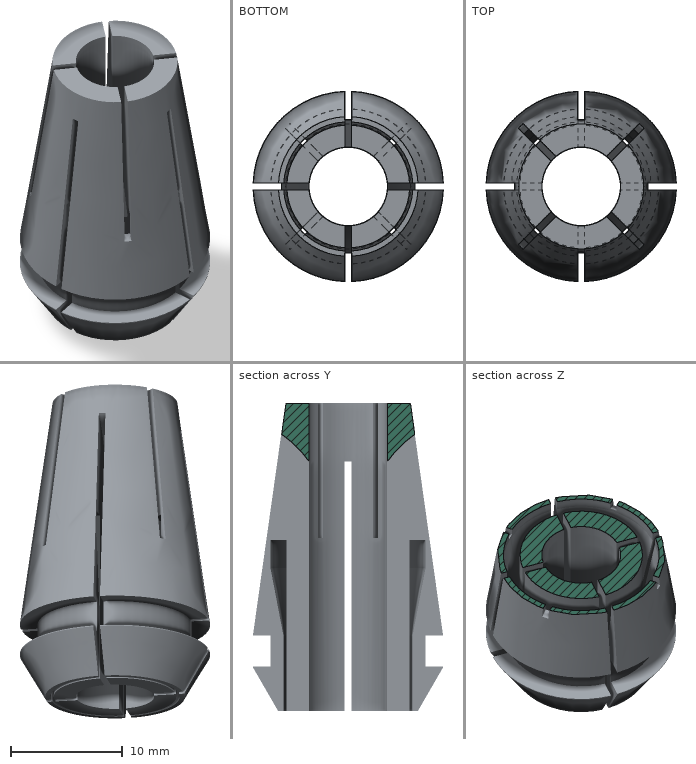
import cadquery as cq
import math

height = 27.5
outer_radius = 8.5
bore_radius = 3.5

clamp_angle = 8.0
nut_angle = 30.0

groove_radius = 6.92
groove_bottom = 4.0
groove_top = 6.74
rim_height = 0.08

sleeve_radius = 5.48
relief_mouth_radius = 5.77
relief_wall_radius = 6.93
relief_cone_top = 12.8
relief_top = 15.3

slot_width = 0.6
saw_radius = 10.0
slot_count = 4
slot_spacing = 360.0 / slot_count
nut_slot_outer_end = 24.75
nut_slot_inner_end = 22.3
back_slot_outer_end = 12.8
back_slot_inner_end = 15.45
clearance = 1.0

clamp_slope = math.tan(math.radians(clamp_angle))
nut_slope = math.tan(math.radians(nut_angle))


def taper_radius(z):
    """Radius of the clamping taper at height z."""
    return outer_radius - (z - groove_top) * clamp_slope


def make_body():
    """Revolved tapers and nut groove with the through bore."""
    rim_bottom = groove_bottom - rim_height
    nut_end_radius = outer_radius - rim_bottom * nut_slope
    profile = [
        (bore_radius, 0),
        (nut_end_radius, 0),
        (outer_radius, rim_bottom),
        (outer_radius, groove_bottom),
        (groove_radius, groove_bottom),
        (groove_radius, groove_top),
        (outer_radius, groove_top),
        (taper_radius(height), height),
        (bore_radius, height),
    ]
    return cq.Workplane("XZ").polyline(profile).close().revolve(360, (0, 0), (0, 1))


def make_relief():
    """Annular relief open at the nut end: straight mouth, widening cone, straight upper wall."""
    profile = [
        (sleeve_radius, 0),
        (relief_mouth_radius, 0),
        (relief_mouth_radius, groove_top),
        (relief_wall_radius, relief_cone_top),
        (relief_wall_radius, relief_top),
        (sleeve_radius, relief_top),
    ]
    return cq.Workplane("XZ").polyline(profile).close().revolve(360, (0, 0), (0, 1))


def make_slot(open_z, outer_end_z, inner_end_z, angle):
    """Radial slot through one wall, from the open end to a saw arc that bulges away from that end."""
    inner_r = bore_radius
    outer_r = taper_radius(outer_end_z)
    chord_r = outer_r - inner_r
    chord_z = outer_end_z - inner_end_z
    chord = math.hypot(chord_r, chord_z)
    sagitta = saw_radius - math.sqrt(saw_radius**2 - (chord / 2) ** 2)
    bulge = math.copysign(sagitta / chord, chord_z)
    arc_middle = (
        (inner_r + outer_r) / 2 - bulge * chord_z,
        (inner_end_z + outer_end_z) / 2 + bulge * chord_r,
    )
    air_inner_r = bore_radius - clearance
    air_outer_r = outer_radius + clearance
    slot = (
        cq.Workplane("XZ")
        .moveTo(air_inner_r, open_z)
        .lineTo(air_outer_r, open_z)
        .lineTo(air_outer_r, outer_end_z)
        .lineTo(outer_r, outer_end_z)
        .threePointArc(arc_middle, (inner_r, inner_end_z))
        .lineTo(air_inner_r, inner_end_z)
        .close()
        .extrude(slot_width / 2, both=True)
    )
    return slot.rotate((0, 0, 0), (0, 0, 1), angle)


result = make_body().cut(make_relief())
for index in range(slot_count):
    nut_slot_angle = index * slot_spacing
    back_slot_angle = nut_slot_angle + slot_spacing / 2
    result = result.cut(make_slot(-clearance, nut_slot_outer_end, nut_slot_inner_end, nut_slot_angle))
    result = result.cut(
        make_slot(height + clearance, back_slot_outer_end, back_slot_inner_end, back_slot_angle)
    )